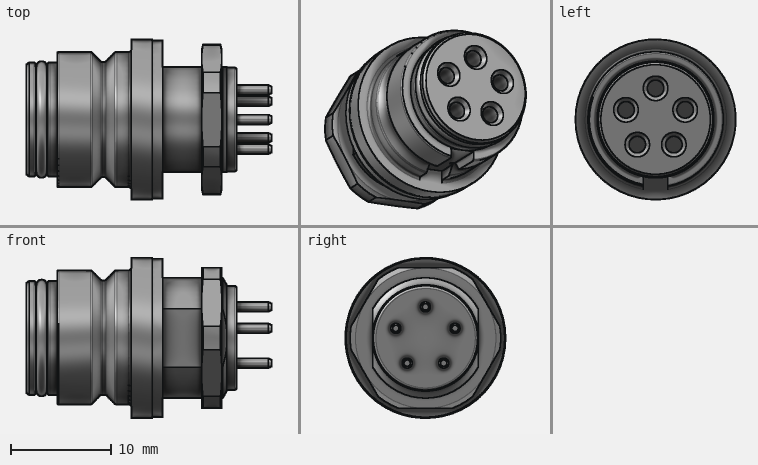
import cadquery as cq
import math


COLLAR_START = 3.1
FLANGE_START = 10.5
FLANGE_STEP = 12.55
FLANGE_END = 13.6
THREAD_END = 20.0
INSERT_END = 21.0
TOTAL_LENGTH = 24.5

NOSE_RADIUS = 11.4 / 2
NOSE_TIP_RADIUS = 10.92 / 2
NOSE_CHAMFER_LENGTH = 0.3
RING_GROOVE_START = 0.95
RING_GROOVE_WIDTH = 1.2
RING_GROOVE_RADIUS = 10.6 / 2
RING_GROOVE_FILLET = 0.2
RING_WIRE_RADIUS = 0.53

COLLAR_RADIUS = 6.75
COLLAR_EDGE_FILLET = 0.15
V_FLOOR_START = 7.5
V_FLOOR_WIDTH = 0.4
V_FLOOR_RADIUS = 5.75
V_DEPTH = COLLAR_RADIUS - V_FLOOR_RADIUS
V_TOP_FILLET = 0.3
V_FLOOR_FILLET = 0.2
COLLAR_ROOT_FILLET = 0.3

FLANGE_RADIUS = 16 / 2
FLANGE_REAR_RADIUS = 15.8 / 2

THREAD_RADIUS = 6.0
THREAD_TIP_RADIUS = 10.6 / 2
THREAD_CHAMFER_LENGTH = (THREAD_RADIUS - THREAD_TIP_RADIUS) / math.tan(math.radians(60))
FLAT_DISTANCE = 5.25
INSERT_RADIUS = 10.4 / 2
INSERT_FILLET = 0.25

KEYWAY_WIDTH = 2.45
KEYWAY_FLOOR = NOSE_RADIUS

CONTACT_COUNT = 5
CONTACT_CIRCLE_RADIUS = 3.1
FIRST_CONTACT_ANGLE = 90
SOCKET_MOUTH_RADIUS = 2.45 / 2
SOCKET_RADIUS = 1.65 / 2
SOCKET_CONE_DEPTH = 0.48
SOCKET_DEPTH = 5.0
PIN_RADIUS = 1.0 / 2
PIN_TIP_RADIUS = 0.32
PIN_TIP_LENGTH = 0.35

NUT_START = 17.5
NUT_WIDTH = 2.0
NUT_ACROSS_FLATS = 14.0
NUT_TURNED_RADIUS = 7.5
NUT_CHAMFER_ANGLE = 15


def revolve_about_x(sketch):
    """Turn a closed outline, drawn as (x, radius), about the X axis."""
    return sketch.close().revolve(360, (0, 0, 0), (1, 0, 0))


def rod_along_x(radius, start, end):
    """Solid cylinder along X."""
    return cq.Workplane("YZ", origin=(start, 0, 0)).circle(radius).extrude(end - start)


def flatted_rod(start, end):
    """Thread cylinder with flats on its +Y and -Y sides, the section shared by shank and nut bore."""
    between_flats = cq.Workplane("XY", origin=(start, 0, 0)).box(
        end - start, 2 * FLAT_DISTANCE, 2 * THREAD_RADIUS, centered=(False, True, True)
    )
    return rod_along_x(THREAD_RADIUS, start, end).intersect(between_flats)


def at_circle_edge(x, radius):
    """Selector for the circular edge around X at one station and radius."""
    margin = 0.02
    reach = radius + margin
    return cq.selectors.BoxSelector(
        (x - margin, -reach, -reach), (x + margin, reach, reach), boundingbox=True
    )


def make_nose():
    groove_end = RING_GROOVE_START + RING_GROOVE_WIDTH
    nose = revolve_about_x(
        cq.Workplane("XY")
        .moveTo(0, 0)
        .lineTo(0, NOSE_TIP_RADIUS)
        .lineTo(NOSE_CHAMFER_LENGTH, NOSE_RADIUS)
        .lineTo(RING_GROOVE_START, NOSE_RADIUS)
        .lineTo(RING_GROOVE_START, RING_GROOVE_RADIUS)
        .lineTo(groove_end, RING_GROOVE_RADIUS)
        .lineTo(groove_end, NOSE_RADIUS)
        .lineTo(COLLAR_START, NOSE_RADIUS)
        .lineTo(COLLAR_START, 0)
    )
    for x in (RING_GROOVE_START, groove_end):
        rim = nose.edges(at_circle_edge(x, NOSE_RADIUS)).edges(cq.selectors.RadiusNthSelector(-1))
        nose = rim.fillet(RING_GROOVE_FILLET)
    return nose


def make_sealing_ring():
    ring_x = RING_GROOVE_START + RING_GROOVE_WIDTH / 2
    return (
        cq.Workplane("XY")
        .center(ring_x, RING_GROOVE_RADIUS)
        .circle(RING_WIRE_RADIUS)
        .revolve(360, (0, -RING_GROOVE_RADIUS, 0), (1, -RING_GROOVE_RADIUS, 0))
    )


def make_collar():
    v_floor_end = V_FLOOR_START + V_FLOOR_WIDTH
    v_start = V_FLOOR_START - V_DEPTH
    v_end = v_floor_end + V_DEPTH
    collar = revolve_about_x(
        cq.Workplane("XY")
        .moveTo(COLLAR_START, 0)
        .lineTo(COLLAR_START, COLLAR_RADIUS)
        .lineTo(v_start, COLLAR_RADIUS)
        .lineTo(V_FLOOR_START, V_FLOOR_RADIUS)
        .lineTo(v_floor_end, V_FLOOR_RADIUS)
        .lineTo(v_end, COLLAR_RADIUS)
        .lineTo(FLANGE_START, COLLAR_RADIUS)
        .lineTo(FLANGE_START, FLANGE_RADIUS)
        .lineTo(FLANGE_STEP, FLANGE_RADIUS)
        .lineTo(FLANGE_STEP, FLANGE_REAR_RADIUS)
        .lineTo(FLANGE_END, FLANGE_REAR_RADIUS)
        .lineTo(FLANGE_END, 0)
    )
    rounded_edges = (
        (COLLAR_START, COLLAR_RADIUS, COLLAR_EDGE_FILLET),
        (v_start, COLLAR_RADIUS, V_TOP_FILLET),
        (V_FLOOR_START, V_FLOOR_RADIUS, V_FLOOR_FILLET),
        (v_floor_end, V_FLOOR_RADIUS, V_FLOOR_FILLET),
        (v_end, COLLAR_RADIUS, V_TOP_FILLET),
        (FLANGE_START, COLLAR_RADIUS, COLLAR_ROOT_FILLET),
    )
    for x, radius, fillet in rounded_edges:
        collar = collar.edges(at_circle_edge(x, radius)).fillet(fillet)
    keyway_length = FLANGE_START - COLLAR_START
    keyway_depth = FLANGE_RADIUS - KEYWAY_FLOOR
    keyway = cq.Workplane("XY", origin=(COLLAR_START, 0, -FLANGE_RADIUS)).box(
        keyway_length, KEYWAY_WIDTH, keyway_depth, centered=(False, True, False)
    )
    return collar.cut(keyway)


def make_shank():
    shank = revolve_about_x(
        cq.Workplane("XY")
        .moveTo(FLANGE_END, 0)
        .lineTo(FLANGE_END, THREAD_RADIUS)
        .lineTo(THREAD_END - THREAD_CHAMFER_LENGTH, THREAD_RADIUS)
        .lineTo(THREAD_END, THREAD_TIP_RADIUS)
        .lineTo(THREAD_END, 0)
    )
    return shank.intersect(flatted_rod(FLANGE_END, THREAD_END))


def make_insert():
    return rod_along_x(INSERT_RADIUS, THREAD_END, INSERT_END).faces(">X").edges().fillet(INSERT_FILLET)


def make_socket():
    """Blind contact hole with a conical mouth, on the X axis."""
    return revolve_about_x(
        cq.Workplane("XY")
        .moveTo(0, 0)
        .lineTo(0, SOCKET_MOUTH_RADIUS)
        .lineTo(SOCKET_CONE_DEPTH, SOCKET_RADIUS)
        .lineTo(SOCKET_DEPTH, SOCKET_RADIUS)
        .lineTo(SOCKET_DEPTH, 0)
    )


def make_pin():
    """Solder pin with a tapered tip, on the X axis."""
    return revolve_about_x(
        cq.Workplane("XY")
        .moveTo(INSERT_END, 0)
        .lineTo(INSERT_END, PIN_RADIUS)
        .lineTo(TOTAL_LENGTH - PIN_TIP_LENGTH, PIN_RADIUS)
        .lineTo(TOTAL_LENGTH, PIN_TIP_RADIUS)
        .lineTo(TOTAL_LENGTH, 0)
    )


def make_connector():
    connector = make_nose().union(make_sealing_ring()).union(make_collar())
    connector = connector.union(make_shank()).union(make_insert())
    for index in range(CONTACT_COUNT):
        angle = math.radians(FIRST_CONTACT_ANGLE + index * 360 / CONTACT_COUNT)
        place = (0, CONTACT_CIRCLE_RADIUS * math.cos(angle), CONTACT_CIRCLE_RADIUS * math.sin(angle))
        connector = connector.cut(make_socket().translate(place))
        connector = connector.union(make_pin().translate(place))
    return connector


def make_nut():
    """Hexagonal nut with turned corners, two sides facing +Z and -Z, fitting the flatted shank."""
    nut_end = NUT_START + NUT_WIDTH
    across_corners = NUT_ACROSS_FLATS / math.cos(math.radians(30))
    hexagon = cq.Workplane("YZ", origin=(NUT_START, 0, 0)).polygon(6, across_corners).extrude(NUT_WIDTH)
    face_radius = NUT_ACROSS_FLATS / 2
    chamfer_length = (NUT_TURNED_RADIUS - face_radius) * math.tan(math.radians(NUT_CHAMFER_ANGLE))
    turned_blank = revolve_about_x(
        cq.Workplane("XY")
        .moveTo(NUT_START, 0)
        .lineTo(NUT_START, face_radius)
        .lineTo(NUT_START + chamfer_length, NUT_TURNED_RADIUS)
        .lineTo(nut_end - chamfer_length, NUT_TURNED_RADIUS)
        .lineTo(nut_end, face_radius)
        .lineTo(nut_end, 0)
    )
    bore = flatted_rod(NUT_START, nut_end)
    return hexagon.intersect(turned_blank).cut(bore)


connector = make_connector()
nut = make_nut()

result = cq.Compound.makeCompound([connector.val(), nut.val()])